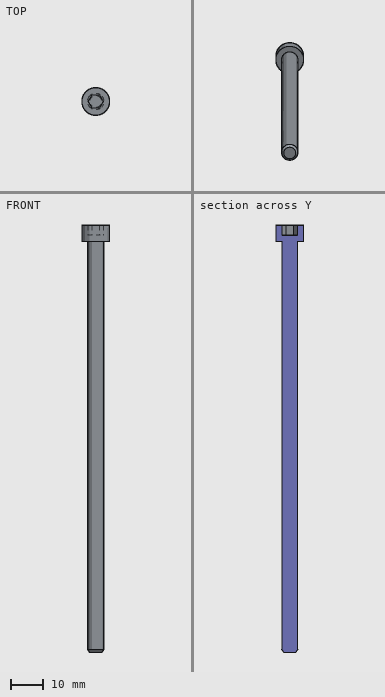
import cadquery as cq
import math

thread_diameter = 5.0
shank_length = 125.0
thread_length = 22.0

head_diameter = 8.5
head_height = thread_diameter

socket_across_flats = 4.0
socket_depth = 3.0

tip_diameter = 3.6
tip_chamfer_height = 0.9


def screw_body():
    """Head, plain shank, threaded length and tapered tip, revolved about Z."""
    head_radius = head_diameter / 2
    shank_radius = thread_diameter / 2
    tip_radius = tip_diameter / 2
    tip_z = -shank_length
    thread_start_z = tip_z + thread_length
    chamfer_top_z = tip_z + tip_chamfer_height
    profile = [
        (0, head_height),
        (head_radius, head_height),
        (head_radius, 0),
        (shank_radius, 0),
        (shank_radius, thread_start_z),
        (shank_radius, chamfer_top_z),
        (tip_radius, tip_z),
        (0, tip_z),
    ]
    return cq.Workplane("XZ").polyline(profile).close().revolve(360, (0, 0), (0, 1), clean=False)


def hex_socket():
    """Hexagonal key recess in the head, with two corners on the X axis."""
    across_corners = socket_across_flats / math.cos(math.pi / 6)
    return (
        cq.Workplane("XY")
        .workplane(offset=head_height - socket_depth)
        .polygon(6, across_corners)
        .extrude(socket_depth)
    )


result = screw_body().cut(hex_socket(), clean=False)